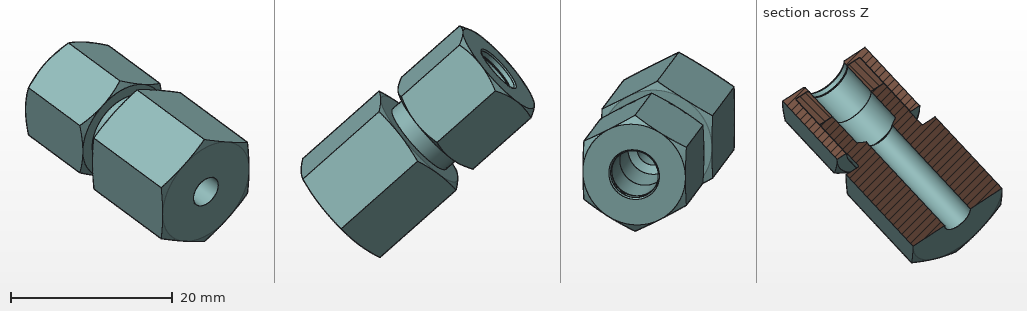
import cadquery as cq
import math

overall_length = 26.95
body_hex_corners = 16.17
half_side_angle = math.radians(30)
body_hex_flats = body_hex_corners * math.cos(half_side_angle)
body_hex_length = 13.5
body_chamfer_angle = 15.0
neck_diameter = 10.0

nut_flats = 13.0
nut_length = 11.02
nut_chamfer_angle = 30.0

tube_bore = 6.05
nut_bore_chamfer = 0.2
nut_lip_length = 0.84
ferrule_edge_chamfer = 0.13
ferrule_length = 4.85

through_bore = 4.02
socket_depth = 4.85
socket_tip_angle = 118.0

body_hex_start = overall_length - body_hex_length
neck_start = nut_lip_length + ferrule_length


def hex_bar(start, length, flats, chamfer_angle):
    """Hexagonal bar along X, corners at +Z and -Z, with both ends turned to a cone."""
    flat_radius = flats / 2
    corner_radius = flat_radius / math.cos(half_side_angle)
    corner_drop = (corner_radius - flat_radius) * math.tan(math.radians(chamfer_angle))
    bar = (
        cq.Workplane("YZ", origin=(start, 0, 0))
        .polygon(6, 2 * corner_radius)
        .extrude(length)
        .rotate((0, 0, 0), (1, 0, 0), 90)
    )
    turned_profile = [
        (start, 0),
        (start, flat_radius),
        (start + corner_drop, corner_radius),
        (start + length - corner_drop, corner_radius),
        (start + length, flat_radius),
        (start + length, 0),
    ]
    return bar.intersect(revolved(turned_profile))


def revolved(profile):
    """Solid of revolution about X from (axial position, radius) points."""
    return cq.Workplane("XY").polyline(profile).close().revolve(360, (0, 0, 0), (1, 0, 0))


def cylinder(start, end, diameter):
    """Round bar along X."""
    return cq.Workplane("YZ", origin=(start, 0, 0)).circle(diameter / 2).extrude(end - start)


def make_nut():
    """Hex nut with a chamfered tube hole and a cavity for the ferrule and the neck."""
    nut = hex_bar(0, nut_length, nut_flats, nut_chamfer_angle)
    bore_radius = tube_bore / 2
    tube_hole = revolved([
        (0, 0),
        (0, bore_radius + nut_bore_chamfer),
        (nut_bore_chamfer, bore_radius),
        (nut_lip_length, bore_radius),
        (nut_lip_length, 0),
    ])
    cavity = cylinder(nut_lip_length, nut_length, neck_diameter)
    return nut.cut(tube_hole).cut(cavity)


def make_ferrule():
    """Sleeve between the nut's lip and the body's neck, with a chamfered front bore edge."""
    bore_radius = tube_bore / 2
    return revolved([
        (nut_lip_length, bore_radius + ferrule_edge_chamfer),
        (nut_lip_length, neck_diameter / 2),
        (neck_start, neck_diameter / 2),
        (neck_start, bore_radius),
        (nut_lip_length + ferrule_edge_chamfer, bore_radius),
    ])


def make_body():
    """Hex body whose round neck enters the nut, with a tube socket and a through bore."""
    body = hex_bar(body_hex_start, body_hex_length, body_hex_flats, body_chamfer_angle)
    body = body.union(cylinder(neck_start, body_hex_start, neck_diameter))
    socket_end = neck_start + socket_depth
    cone_depth = (tube_bore - through_bore) / 2 / math.tan(math.radians(socket_tip_angle / 2))
    bore = revolved([
        (neck_start, 0),
        (neck_start, tube_bore / 2),
        (socket_end, tube_bore / 2),
        (socket_end + cone_depth, through_bore / 2),
        (overall_length, through_bore / 2),
        (overall_length, 0),
    ])
    return body.cut(bore)


nut = make_nut()
ferrule = make_ferrule()
body = make_body()

result = cq.Compound.makeCompound([nut.val(), ferrule.val(), body.val()])